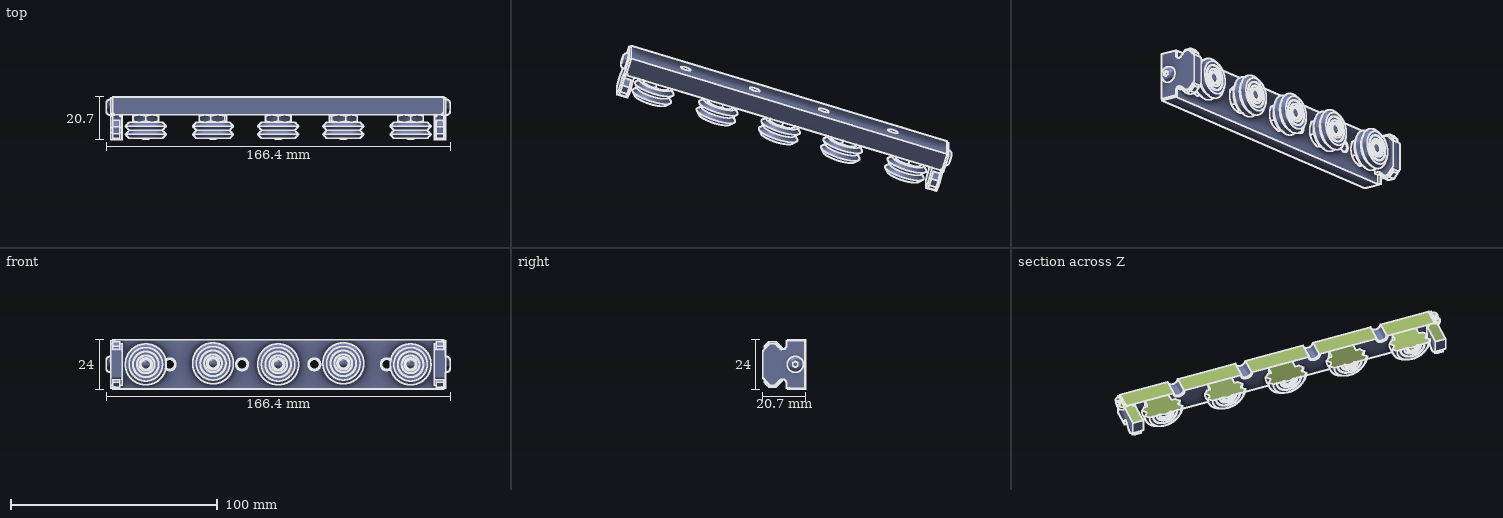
import cadquery as cq
import math


BAR_LENGTH = 160.0
BAR_HEIGHT = 24.0
BAR_DEPTH = 8.7
BAR_CORNER_CHAMFER = 1.0
HOLE_PITCH = 35.0
HOLE_COUNT = 4
HOLE_DIAMETER = 5.0
HOLE_CHAMFER = 0.5

END_ROLLER_X = 64.0
ECCENTRIC_ROLLER_X = 31.5
ECCENTRIC_LIFT = 0.5
ECCENTRIC_TURN = 9.0

HEX_ACROSS_FLATS = 12.5
HEX_LENGTH = 3.5
HEX_BEVEL_ANGLE = 30.0
WHEEL_RADIUS = 9.9
WHEEL_RIM_RADIUS = 8.1
WHEEL_RIDGE_PITCH = 4.0
WHEEL_WIDTH = 7.9
FACE_GROOVE_RADII = (6.2, 4.3)
FACE_GROOVE_WIDTH = 0.2
FACE_GROOVE_DEPTH = 0.3
STUD_RECESS_DEPTH = 0.4
STUD_RECESS_RADIUS = 3.1
STUD_DOME_RADIUS = 2.4
STUD_DOME_HEIGHT = 0.85

TOTAL_DEPTH = 20.73
WIPER_THICKNESS = 5.5
WIPER_PLATE_THICKNESS = 1.0
WIPER_PLATE_INSET = 0.5
WIPER_PLATE_OVERHANG = 0.6
NOTCH_RADIUS = 1.95
NOTCH_HALF_HEIGHT = 7.25
GUIDE_HALF_HEIGHT = 10.0
GUIDE_FRONT_HALF_HEIGHT = 6.6
RIB_HEIGHT = 1.0
RIB_THICKNESS = 3.5
RIB_START_SETBACK = 0.6
INNER_SIDE_CLEARANCE = 0.7
TIP_FILLET = 1.0
RIB_FRONT_SETBACK = 0.75

SCREW_HEAD_RADIUS = 3.9
SCREW_HEAD_HEIGHT = 2.225
SCREW_TOP_RADIUS = 1.8
SCREW_DISTANCE_FROM_BACK = 5.0
SOCKET_ACROSS_FLATS = 2.5
SOCKET_DEPTH = 1.3

WIPER_REACH = TOTAL_DEPTH - BAR_DEPTH
BAR_END_X = BAR_LENGTH / 2
WIPER_OUTER_X = BAR_END_X + WIPER_PLATE_THICKNESS
WHEEL_END = HEX_LENGTH + WHEEL_WIDTH
STUD_RECESS_FLOOR = WHEEL_END - STUD_RECESS_DEPTH
COS_45 = math.cos(math.radians(45))
COS_22 = math.cos(math.radians(22.5))
SIN_22 = math.sin(math.radians(22.5))
TAN_22 = SIN_22 / COS_22


def make_bar():
    bar = cq.Workplane("XY").box(
        BAR_LENGTH, BAR_DEPTH, BAR_HEIGHT, centered=(True, False, True)
    )
    bar = bar.faces("<Y").edges("|Z").chamfer(BAR_CORNER_CHAMFER)
    first_hole_x = -HOLE_PITCH * (HOLE_COUNT - 1) / 2
    hole_places = [(first_hole_x + i * HOLE_PITCH, 0) for i in range(HOLE_COUNT)]
    face = cq.Workplane("XZ")
    bores = face.pushPoints(hole_places).circle(HOLE_DIAMETER / 2).extrude(-BAR_DEPTH)
    countersinks = (
        face.pushPoints(hole_places)
        .circle(HOLE_DIAMETER / 2 + HOLE_CHAMFER)
        .extrude(-HOLE_CHAMFER, taper=45)
    )
    return bar.cut(bores).cut(countersinks)


def make_face_groove(radius):
    """Ring that cuts a narrow groove into the front face of a wheel."""
    return (
        cq.Workplane("XY", origin=(0, 0, WHEEL_END - FACE_GROOVE_DEPTH))
        .circle(radius + FACE_GROOVE_WIDTH / 2)
        .circle(radius - FACE_GROOVE_WIDTH / 2)
        .extrude(FACE_GROOVE_DEPTH)
    )


def make_foot():
    """Hexagonal foot with the corners bevelled at both ends."""
    flat_radius = HEX_ACROSS_FLATS / 2
    corner_radius = HEX_ACROSS_FLATS / math.sqrt(3)
    bevel_drop = (corner_radius - flat_radius) * math.tan(math.radians(HEX_BEVEL_ANGLE))
    hexagon = cq.Workplane("XY").polygon(6, HEX_ACROSS_FLATS, circumscribed=True).extrude(HEX_LENGTH)
    bevel_envelope = (
        cq.Workplane("XZ")
        .lineTo(flat_radius, 0)
        .lineTo(corner_radius, bevel_drop)
        .lineTo(corner_radius, HEX_LENGTH - bevel_drop)
        .lineTo(flat_radius, HEX_LENGTH)
        .lineTo(0, HEX_LENGTH)
        .close()
        .revolve(360, (0, 0, 0), (0, 1, 0))
    )
    return hexagon.intersect(bevel_envelope)


def make_wheel():
    """Wheel with two ridges, two face grooves and a recess around the stud."""
    middle = HEX_LENGTH + WHEEL_WIDTH / 2
    wheel = (
        cq.Workplane("XZ")
        .moveTo(0, HEX_LENGTH)
        .lineTo(WHEEL_RIM_RADIUS, HEX_LENGTH)
        .lineTo(WHEEL_RADIUS, middle - WHEEL_RIDGE_PITCH / 2)
        .lineTo(WHEEL_RIM_RADIUS, middle)
        .lineTo(WHEEL_RADIUS, middle + WHEEL_RIDGE_PITCH / 2)
        .lineTo(WHEEL_RIM_RADIUS, WHEEL_END)
        .lineTo(0, WHEEL_END)
        .close()
        .revolve(360, (0, 0, 0), (0, 1, 0))
    )
    for groove_radius in FACE_GROOVE_RADII:
        wheel = wheel.cut(make_face_groove(groove_radius))
    stud_recess = (
        cq.Workplane("XY", origin=(0, 0, STUD_RECESS_FLOOR))
        .circle(STUD_RECESS_RADIUS)
        .extrude(STUD_RECESS_DEPTH)
    )
    return wheel.cut(stud_recess)


def make_stud_dome():
    """Spherical cap that rises from the floor of the stud recess."""
    sphere_radius = (STUD_DOME_RADIUS**2 + STUD_DOME_HEIGHT**2) / (2 * STUD_DOME_HEIGHT)
    dome_top = STUD_RECESS_FLOOR + STUD_DOME_HEIGHT
    half_angle = math.asin(STUD_DOME_RADIUS / sphere_radius) / 2
    arc_middle = (
        sphere_radius * math.sin(half_angle),
        dome_top - sphere_radius * (1 - math.cos(half_angle)),
    )
    return (
        cq.Workplane("XZ")
        .moveTo(0, HEX_LENGTH)
        .lineTo(STUD_DOME_RADIUS, HEX_LENGTH)
        .lineTo(STUD_DOME_RADIUS, STUD_RECESS_FLOOR)
        .threePointArc(arc_middle, (0, dome_top))
        .close()
        .revolve(360, (0, 0, 0), (0, 1, 0))
    )


def make_roller(x, lift, turn):
    """One roller; it is modelled standing along Z, then laid down to point along -Y."""
    return (
        make_foot()
        .union(make_wheel())
        .union(make_stud_dome())
        .rotate((0, 0, 0), (0, 0, 1), turn)
        .rotate((0, 0, 0), (1, 0, 0), 90)
        .translate((x, 0, lift))
    )


def make_left_wiper():
    """Plate over the bar end with a block in front of the bar and a rib around its guide."""
    plate_half_height = BAR_HEIGHT / 2 - WIPER_PLATE_INSET
    notch_centre_reach = WIPER_PLATE_OVERHANG + NOTCH_RADIUS
    notch_centre_height = NOTCH_HALF_HEIGHT + NOTCH_RADIUS
    slope_start_reach = notch_centre_reach + NOTCH_RADIUS * COS_45
    slope_start_height = notch_centre_height - NOTCH_RADIUS * COS_45
    guide_top_start = slope_start_reach + GUIDE_HALF_HEIGHT - slope_start_height
    guide_top_end = WIPER_REACH - (GUIDE_HALF_HEIGHT - GUIDE_FRONT_HALF_HEIGHT)

    profile = (
        cq.Workplane("YZ")
        .moveTo(BAR_DEPTH - WIPER_PLATE_INSET, 0)
        .lineTo(BAR_DEPTH - WIPER_PLATE_INSET, plate_half_height)
        .lineTo(-WIPER_PLATE_OVERHANG, plate_half_height)
        .lineTo(-WIPER_PLATE_OVERHANG, notch_centre_height)
        .threePointArc(
            (-notch_centre_reach + NOTCH_RADIUS * COS_45, notch_centre_height - NOTCH_RADIUS * COS_45),
            (-notch_centre_reach, NOTCH_HALF_HEIGHT),
        )
        .threePointArc(
            (
                -notch_centre_reach - NOTCH_RADIUS * SIN_22,
                notch_centre_height - NOTCH_RADIUS * COS_22,
            ),
            (-slope_start_reach, slope_start_height),
        )
        .lineTo(-guide_top_start, GUIDE_HALF_HEIGHT)
        .lineTo(-guide_top_end, GUIDE_HALF_HEIGHT)
        .lineTo(-WIPER_REACH, GUIDE_FRONT_HALF_HEIGHT)
        .lineTo(-WIPER_REACH, 0)
        .close()
    )
    body = profile.extrude(WIPER_THICKNESS)
    tip_middle = (WIPER_THICKNESS / 2, -WIPER_REACH, GUIDE_FRONT_HALF_HEIGHT)
    body = body.edges(cq.selectors.NearestToPointSelector(tip_middle)).fillet(TIP_FILLET)
    bar_space = (
        cq.Workplane("XY")
        .box(WIPER_THICKNESS, BAR_DEPTH, BAR_HEIGHT, centered=(False, False, False))
        .translate((WIPER_PLATE_THICKNESS, 0, 0))
    )
    body = body.cut(bar_space)
    block_notch_space = (
        cq.Workplane("XY")
        .box(WIPER_THICKNESS, notch_centre_reach, BAR_HEIGHT, centered=(False, False, False))
        .translate((WIPER_PLATE_THICKNESS, -notch_centre_reach, NOTCH_HALF_HEIGHT))
    )
    body = body.cut(block_notch_space)
    inner_side_gap = (
        cq.Workplane("XY")
        .box(WIPER_THICKNESS, INNER_SIDE_CLEARANCE, BAR_HEIGHT, centered=(False, False, False))
        .translate(((WIPER_THICKNESS + RIB_THICKNESS) / 2, -INNER_SIDE_CLEARANCE, 0))
    )
    body = body.cut(inner_side_gap)

    rib_start_reach = slope_start_reach - RIB_START_SETBACK
    rib_start_height = slope_start_height - RIB_START_SETBACK
    rib_shift = RIB_HEIGHT * COS_45
    rib_corner_shift = RIB_HEIGHT * TAN_22
    rib_top = GUIDE_HALF_HEIGHT + RIB_HEIGHT
    rib_front = WIPER_REACH - RIB_FRONT_SETBACK
    rib_top_end = guide_top_end + rib_corner_shift
    rib = (
        cq.Workplane("YZ", origin=((WIPER_THICKNESS - RIB_THICKNESS) / 2, 0, 0))
        .moveTo(-rib_start_reach, rib_start_height)
        .lineTo(-rib_start_reach + rib_shift, rib_start_height + rib_shift)
        .lineTo(-guide_top_start + rib_corner_shift, rib_top)
        .lineTo(-rib_top_end, rib_top)
        .lineTo(-rib_front, rib_top - (rib_front - rib_top_end))
        .lineTo(-rib_front, 0)
        .lineTo(-rib_start_reach, 0)
        .close()
        .extrude(RIB_THICKNESS)
    )
    upper_half = body.union(rib)
    wiper = upper_half.union(upper_half.mirror("XY"))
    return wiper.translate((-WIPER_OUTER_X, 0, 0))


def make_left_screw():
    """Button head with a hexagonal socket, seated on the outer face of the wiper plate."""
    crown_radius = SCREW_HEAD_RADIUS - SCREW_TOP_RADIUS
    crown_start = SCREW_HEAD_HEIGHT - crown_radius
    head = (
        cq.Workplane("XZ")
        .lineTo(SCREW_HEAD_RADIUS, 0)
        .lineTo(SCREW_HEAD_RADIUS, crown_start)
        .threePointArc(
            (SCREW_TOP_RADIUS + crown_radius * COS_45, crown_start + crown_radius * COS_45),
            (SCREW_TOP_RADIUS, SCREW_HEAD_HEIGHT),
        )
        .lineTo(0, SCREW_HEAD_HEIGHT)
        .close()
        .revolve(360, (0, 0, 0), (0, 1, 0))
    )
    socket = (
        cq.Workplane("XY", origin=(0, 0, SCREW_HEAD_HEIGHT - SOCKET_DEPTH))
        .polygon(6, SOCKET_ACROSS_FLATS, circumscribed=True)
        .extrude(SOCKET_DEPTH)
        .rotate((0, 0, 0), (0, 0, 1), 30)
    )
    screw = head.cut(socket).rotate((0, 0, 0), (0, 1, 0), -90)
    return screw.translate((-WIPER_OUTER_X, BAR_DEPTH - SCREW_DISTANCE_FROM_BACK, 0))


bar = make_bar()

rollers = [make_roller(x, 0, 0) for x in (-END_ROLLER_X, 0, END_ROLLER_X)]
for side in (-1, 1):
    rollers.append(make_roller(side * ECCENTRIC_ROLLER_X, ECCENTRIC_LIFT, -side * ECCENTRIC_TURN))

left_wiper = make_left_wiper()
wipers = [left_wiper, left_wiper.mirror("YZ")]

left_screw = make_left_screw()
screws = [left_screw, left_screw.mirror("YZ")]

result = cq.Compound.makeCompound([body.val() for body in [bar, *rollers, *wipers, *screws]])